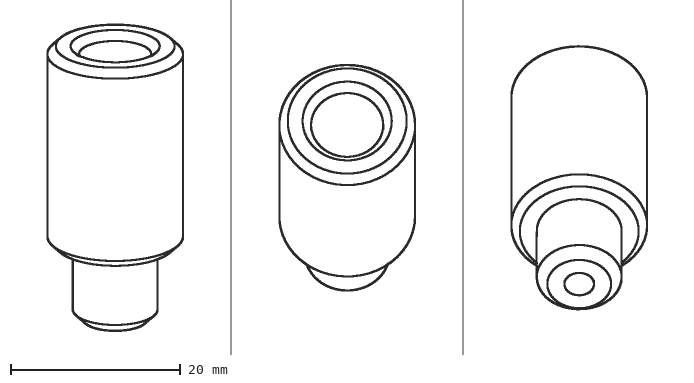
import cadquery as cq
import math

total_height = 34.5
body_diameter = 16.0
body_height = 25.0
body_chamfer = 1.0
pin_diameter = 10.0
pin_chamfer = 1.25
bore_diameter = 8.5
bore_depth = 20.0
bore_chamfer = 1.0
drill_point_angle = 118.0
through_hole_diameter = 3.5

pin_height = total_height - body_height
bore_radius = bore_diameter / 2
bore_floor = total_height - bore_depth
drill_point_height = bore_radius / math.tan(math.radians(drill_point_angle / 2))


def make_outside():
    """Chamfered body standing on a narrower pin with a chamfered tip."""
    pin = cq.Workplane("XY").circle(pin_diameter / 2).extrude(pin_height)
    pin = pin.faces("<Z").chamfer(pin_chamfer)
    body = cq.Workplane("XY", origin=(0, 0, pin_height)).circle(body_diameter / 2).extrude(body_height)
    body = body.faces("<Z or >Z").chamfer(body_chamfer)
    return pin.union(body)


def make_blind_bore():
    """Bore with a conical drill point and a countersunk mouth, as a cutting solid."""
    mouth_radius = bore_radius + bore_chamfer
    return (
        cq.Workplane("XZ")
        .moveTo(0, bore_floor - drill_point_height)
        .lineTo(bore_radius, bore_floor)
        .lineTo(bore_radius, total_height - bore_chamfer)
        .lineTo(mouth_radius, total_height)
        .lineTo(0, total_height)
        .close()
        .revolve(360, (0, 0), (0, 1))
    )


def make_through_hole():
    """Small hole running the full height on the axis, as a cutting solid."""
    return cq.Workplane("XY").circle(through_hole_diameter / 2).extrude(total_height)


result = make_outside().cut(make_blind_bore()).cut(make_through_hole())